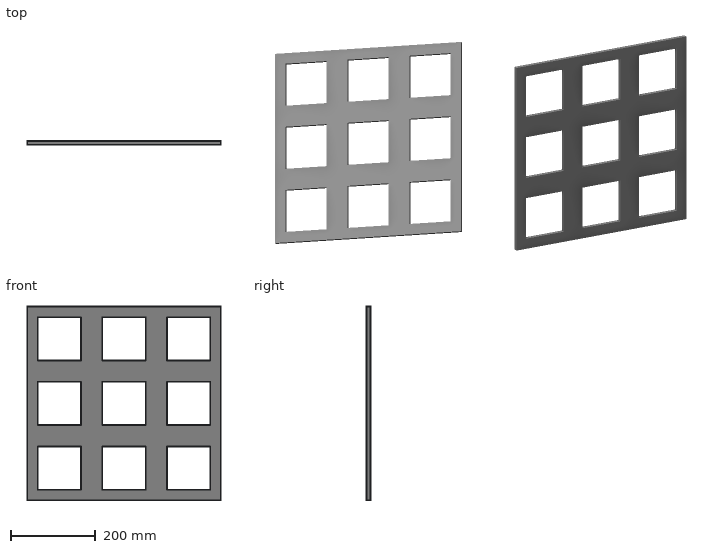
import cadquery as cq

side = 457.0
thickness = 9.5

windows_per_side = 3
window_pitch = side / windows_per_side
window_size = 101.5

plate = cq.Workplane("XY").box(side, thickness, side)

windows = (
    cq.Workplane("XZ")
    .rarray(window_pitch, window_pitch, windows_per_side, windows_per_side)
    .rect(window_size, window_size)
    .extrude(thickness, both=True)
)

result = plate.cut(windows)